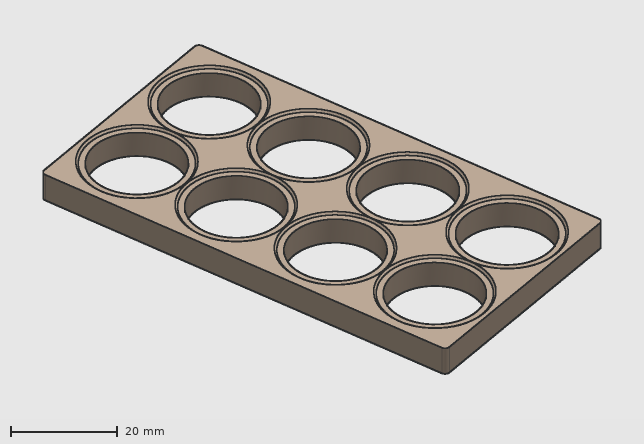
import cadquery as cq

length = 94.0
width = 50.0
thickness = 6.0
corner_radius = 1.0

columns = 4
rows = 2
pitch = 23.0
hole_diameter = 19.4

seat_floor_diameter = 22.0
seat_top_diameter = 22.9
seat_depth = 0.5


def make_plate():
    plate = cq.Workplane("XY").box(length, width, thickness, centered=(True, True, False))
    return plate.edges("|Z").fillet(corner_radius)


def make_hole_cutter():
    """Through hole topped by the flared seat, centred on the Z axis."""
    hole = cq.Workplane("XY").circle(hole_diameter / 2).extrude(thickness)
    seat = (
        cq.Workplane("XY")
        .workplane(offset=thickness - seat_depth)
        .circle(seat_floor_diameter / 2)
        .workplane(offset=seat_depth)
        .circle(seat_top_diameter / 2)
        .loft(ruled=True)
    )
    return hole.union(seat)


result = make_plate()
hole_cutter = make_hole_cutter()
for column in range(columns):
    for row in range(rows):
        x = (column - (columns - 1) / 2) * pitch
        y = (row - (rows - 1) / 2) * pitch
        result = result.cut(hole_cutter.translate((x, y, 0)))